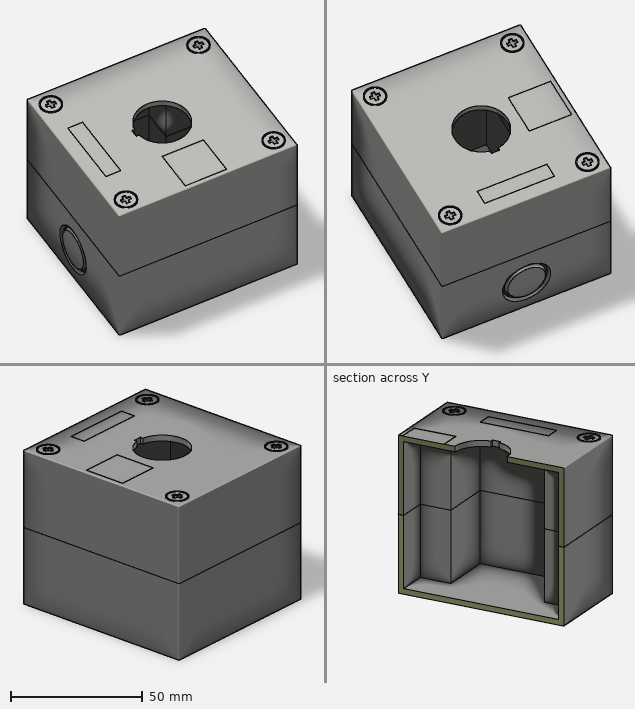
import cadquery as cq

width = 72.0
length = 78.0
height = 65.0
split_height = height / 2
edge_radius = 0.5

wall = 2.5
long_arm_width = 40.55
short_arm_width = 26.05

hole_diameter = 22.5
notch_width = 3.4
notch_depth = 1.1

screw_spacing_x = 58.35
screw_spacing_y = 64.5
head_diameter = 8.1
head_recess_diameter = 9.0
head_groove_depth = 0.4
cross_span = 4.05
cross_arm_width = 1.4
cross_depth = 0.55

label_depth = 0.1
side_label_size = 18.0
side_label_x = 24.95
front_label_width = 29.65
front_label_height = 6.5
front_label_y = -29.7

knockout_z = 14.9
groove_depth = 1.5
groove_outer_radius = 10.2
groove_inner_radius = 8.0
groove_side_run = 0.7


def half_shell(bottom, top, closed_face):
    """One part of the enclosure between two heights, rounded on its upright edges and closed face."""
    return (
        cq.Workplane("XY", origin=(0, 0, bottom))
        .rect(width, length)
        .extrude(top - bottom)
        .edges(f"|Z or {closed_face}")
        .fillet(edge_radius)
    )


def cavity():
    """Cross-shaped interior of the closed enclosure."""
    inner_height = height - 2 * wall
    floor = cq.Workplane("XY", origin=(0, 0, wall))
    long_arm = floor.rect(long_arm_width, length - 2 * wall).extrude(inner_height)
    short_arm = floor.rect(width - 2 * wall, short_arm_width).extrude(inner_height)
    return long_arm.union(short_arm)


def device_hole():
    """Round hole through the lid with a notch on its -Y side."""
    bottom = cq.Workplane("XY", origin=(0, 0, height - wall))
    notch_reach = hole_diameter / 2 + notch_depth
    bore = bottom.circle(hole_diameter / 2).extrude(wall)
    notch = bottom.center(0, -notch_reach / 2).rect(notch_width, notch_reach).extrude(wall)
    return bore.union(notch)


def screw_head_recess():
    """Ring groove and cross recess of one screw head, centred on the Z axis."""
    top = cq.Workplane("XY", origin=(0, 0, height))
    ring = top.circle(head_recess_diameter / 2).circle(head_diameter / 2).extrude(-head_groove_depth)
    arm_along_x = top.rect(cross_span, cross_arm_width).extrude(-cross_depth)
    arm_along_y = top.rect(cross_arm_width, cross_span).extrude(-cross_depth)
    return ring.union(arm_along_x).union(arm_along_y)


def label_field(x, y, size_x, size_y):
    """Shallow rectangular field in the top of the lid."""
    return cq.Workplane("XY", origin=(x, y, height)).rect(size_x, size_y).extrude(-label_depth)


def knockout_groove():
    """Ring groove in the front wall, revolved about the knockout axis."""
    front = -length / 2
    floor_y = front + groove_depth
    return (
        cq.Workplane("XY", origin=(0, 0, knockout_z))
        .moveTo(groove_inner_radius, front)
        .lineTo(groove_outer_radius, front)
        .lineTo(groove_outer_radius - groove_side_run, floor_y)
        .lineTo(groove_inner_radius + groove_side_run, floor_y)
        .close()
        .revolve(360, (0, 0, 0), (0, 1, 0))
    )


def make_base():
    return half_shell(0, split_height, "<Z").cut(cavity()).cut(knockout_groove())


def make_lid():
    lid = half_shell(split_height, height, ">Z").cut(cavity()).cut(device_hole())
    for x in (-screw_spacing_x / 2, screw_spacing_x / 2):
        for y in (-screw_spacing_y / 2, screw_spacing_y / 2):
            lid = lid.cut(screw_head_recess().translate((x, y, 0)))
    lid = lid.cut(label_field(side_label_x, 0, side_label_size, side_label_size))
    return lid.cut(label_field(0, front_label_y, front_label_width, front_label_height))


base = make_base()
lid = make_lid()

result = cq.Compound.makeCompound([base.val(), lid.val()])